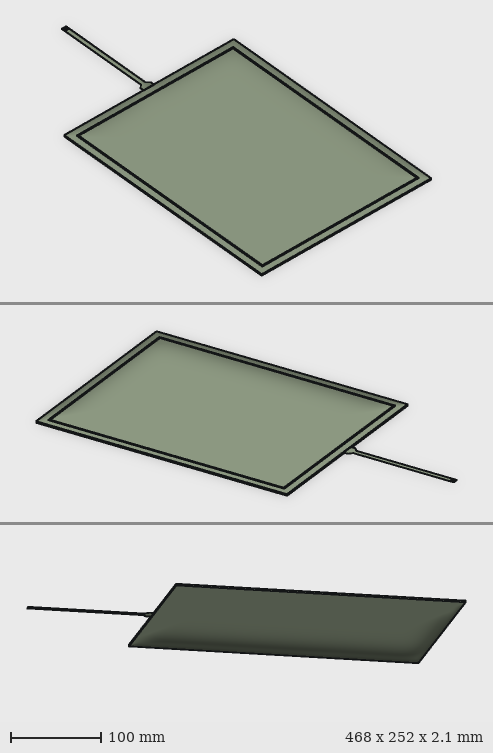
import cadquery as cq

total_length = 468.0
panel_length = 327.0
panel_width = 252.0
panel_thickness = 2.1

groove_inset = 10.0
groove_width = 1.5
groove_depth = 0.5

tail_length = total_length - panel_length
tail_width = 6.5
tail_thickness = 0.25
tail_bottom = 1.15
root_width = 15.5
root_length = 5.5
flare_length = 4.0
joint_overlap = 2.5

contact_count = 4
contact_length = 5.0
contact_width = 1.0
contact_height = 0.15

panel_left = tail_length - total_length / 2
tail_end = -total_length / 2


def make_panel():
    """Flat rectangular panel, with its underside at Z = 0."""
    return cq.Workplane("XY").box(
        panel_length, panel_width, panel_thickness, centered=(False, True, False)
    ).translate((panel_left, 0, 0))


def make_groove():
    """Rectangular ring to be cut from the top of the panel."""
    outer_length = panel_length - 2 * groove_inset
    outer_width = panel_width - 2 * groove_inset
    return (
        cq.Workplane("XY", origin=(panel_left + panel_length / 2, 0, panel_thickness - groove_depth))
        .rect(outer_length, outer_width)
        .rect(outer_length - 2 * groove_width, outer_width - 2 * groove_width)
        .extrude(groove_depth)
    )


def make_tail():
    """Narrow strip that flares into a wider root and runs a little into the panel."""
    root_start = panel_left - root_length
    flare_start = root_start - flare_length
    upper_edge = [
        (tail_end, tail_width / 2),
        (flare_start, tail_width / 2),
        (root_start, root_width / 2),
        (panel_left + joint_overlap, root_width / 2),
    ]
    lower_edge = [(x, -y) for x, y in reversed(upper_edge)]
    return (
        cq.Workplane("XY", origin=(0, 0, tail_bottom))
        .polyline(upper_edge + lower_edge)
        .close()
        .extrude(tail_thickness)
    )


def make_contacts():
    """Evenly spaced raised strips, with equal gaps between them and at the tail edges."""
    gap = (tail_width - contact_count * contact_width) / (contact_count + 1)
    pitch = contact_width + gap
    return (
        cq.Workplane("XY", origin=(tail_end + contact_length / 2, 0, tail_bottom + tail_thickness))
        .rarray(4.5, pitch, 1, contact_count)
        .rect(contact_length, contact_width)
        .extrude(contact_height)
    )


result = make_panel().cut(make_groove()).union(make_tail()).union(make_contacts())